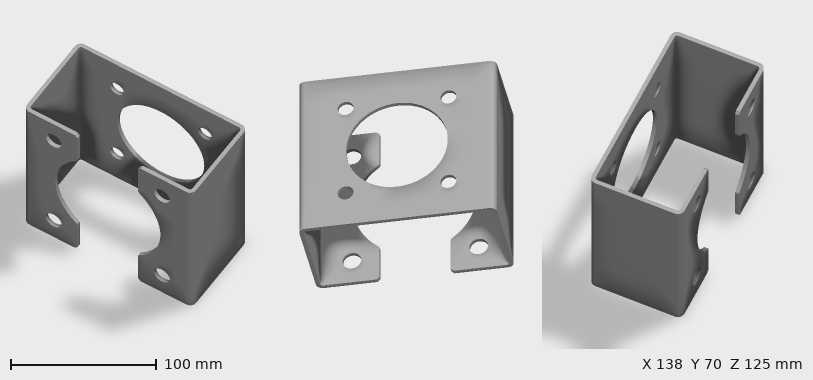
import cadquery as cq

width = 138.0
depth = 70.0
height = 125.0
thickness = 3.0
outer_bend_radius = 5.0
inner_bend_radius = outer_bend_radius - thickness

gap_width = 49.5
lip_end_chamfer = 2.1
clearance_corner_radius = 2.0
clearance_diameter = 86.0

selection_margin = 0.1

lip_hole_diameter = 13.0
lip_hole_spacing = 88.5
bore_diameter = 71.0
back_hole_diameter = 11.0
back_hole_spacing = 71.8

back_inner_y = depth - thickness


def rounded_block(size_x, size_y, size_z, radius):
    """Block centred on X and Z, about mid depth, with rounded vertical edges."""
    block = cq.Workplane("XY").box(size_x, size_y, size_z)
    return block.edges("|Z").fillet(radius).translate((0, depth / 2, 0))


def cylinder_along_y(diameter, start_y):
    """Cutter on the part axis, one sheet thickness long."""
    plane = cq.Workplane("XZ", origin=(0, start_y, 0))
    return plane.circle(diameter / 2).extrude(-thickness)


def square_hole_pattern(diameter, spacing, start_y):
    """Four hole cutters at the corners of a square."""
    plane = cq.Workplane("XZ", origin=(0, start_y, 0))
    return plane.rarray(spacing, spacing, 2, 2).circle(diameter / 2).extrude(-thickness)


shell = rounded_block(width, depth, height, outer_bend_radius)
inside = rounded_block(width - 2 * thickness, depth - 2 * thickness, height, inner_bend_radius)
bracket = shell.cut(inside)

gap = cq.Workplane("XY").box(gap_width, thickness, height).translate((0, thickness / 2, 0))
bracket = bracket.cut(gap)
gap_region = cq.selectors.BoxSelector(
    (-gap_width / 2 - selection_margin, -selection_margin, -height),
    (gap_width / 2 + selection_margin, thickness + selection_margin, height),
)
bracket = bracket.edges("|Y").edges(gap_region).chamfer(lip_end_chamfer)

bracket = bracket.cut(cylinder_along_y(clearance_diameter, 0))
clearance_region = cq.selectors.BoxSelector(
    (-gap_width / 2 - selection_margin, -selection_margin, -clearance_diameter / 2),
    (gap_width / 2 + selection_margin, thickness + selection_margin, clearance_diameter / 2),
)
bracket = bracket.edges("|Y").edges(clearance_region).fillet(clearance_corner_radius)

bracket = bracket.cut(square_hole_pattern(lip_hole_diameter, lip_hole_spacing, 0))

bracket = bracket.cut(cylinder_along_y(bore_diameter, back_inner_y))
bracket = bracket.cut(square_hole_pattern(back_hole_diameter, back_hole_spacing, back_inner_y))

result = bracket